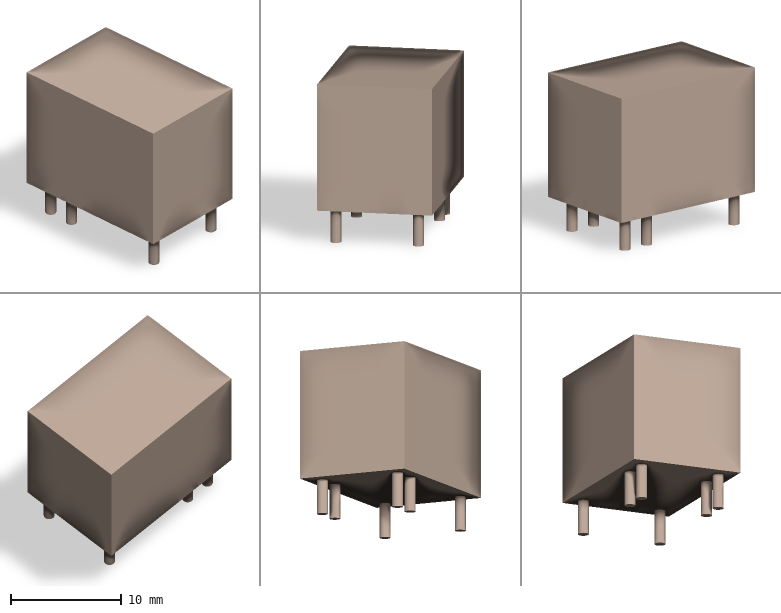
import cadquery as cq

body_length = 15.6
body_width = 10.6
body_height = 11.78

pin_diameter = 1.0
pin_length = 3.12
row_spacing = 7.63
first_pin_inset = 1.6
short_pitch = 2.55
long_pitch = 5 * short_pitch

first_pin_x = first_pin_inset - body_length / 2
pin_columns = [first_pin_x, first_pin_x + short_pitch, first_pin_x + long_pitch]
pin_rows = [-row_spacing / 2, row_spacing / 2]
pin_centers = [(x, y) for x in pin_columns for y in pin_rows]

body = cq.Workplane("XY").box(body_length, body_width, body_height, centered=(True, True, False))
pins = cq.Workplane("XY").pushPoints(pin_centers).circle(pin_diameter / 2).extrude(-pin_length)

result = body.union(pins)